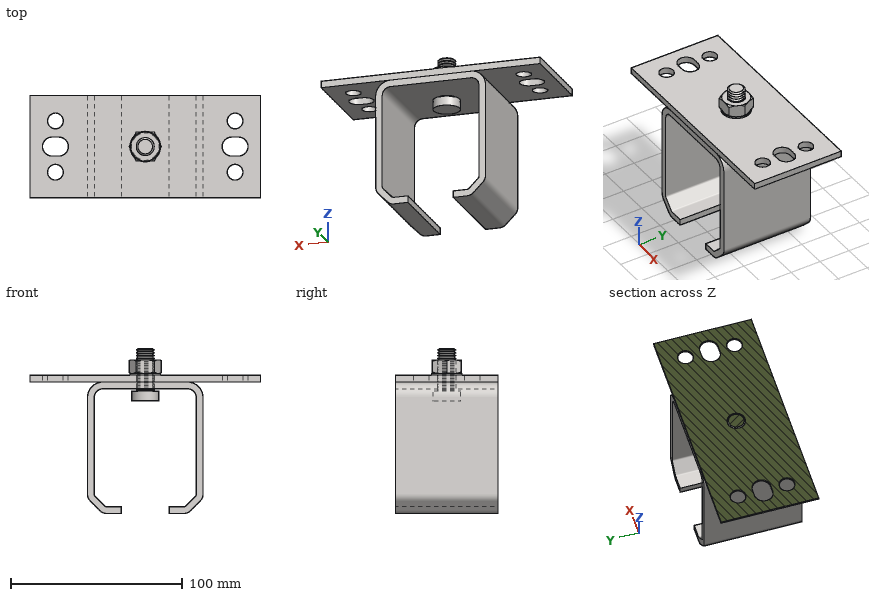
import cadquery as cq
import math

PLATE_LENGTH = 135.0
PLATE_WIDTH = 60.0
PLATE_THICKNESS = 4.0
FIXING_SPACING_X = 105.0
ROUND_HOLE_DIAMETER = 9.0
ROUND_HOLE_SPACING_Y = 30.0
SLOT_LENGTH = 15.0
SLOT_WIDTH = 11.0

CHANNEL_WIDTH = 67.6
CHANNEL_HEIGHT = 77.0
CHANNEL_LENGTH = PLATE_WIDTH
WALL = 4.0
ROOF_OUTER_RADIUS = 9.0
ROOF_INNER_RADIUS = ROOF_OUTER_RADIUS - WALL
INNER_BEVEL = 6.6
OUTER_BEVEL = INNER_BEVEL + WALL - WALL * math.tan(math.radians(22.5))
BEVEL_OUTER_RADIUS = 5.5
BEVEL_INNER_RADIUS = BEVEL_OUTER_RADIUS - WALL
MOUTH_WIDTH = 28.0

BOLT_TOP = 96.5
HEAD_DIAMETER = 16.0
HEAD_HEIGHT = 5.7
HEAD_GAP = 1.4
THREAD_MAJOR_DIAMETER = 10.5
THREAD_MINOR_DIAMETER = 8.5
THREAD_RIDGES = 15

WASHER_DIAMETER = 18.0
WASHER_THICKNESS = 1.0
NUT_HEIGHT = 8.0
NUT_ACROSS_FLATS = 17.0
NUT_ACROSS_CORNERS = 18.8
NUT_MAIN_FLAT_LENGTH = 10.5
NUT_CHAMFER_ANGLE = 30.0

PLATE_BOTTOM = CHANNEL_HEIGHT
WASHER_BOTTOM = PLATE_BOTTOM + PLATE_THICKNESS
NUT_BOTTOM = WASHER_BOTTOM + WASHER_THICKNESS
HEAD_TOP = CHANNEL_HEIGHT - WALL - HEAD_GAP

BOLT_HOLE_DIAMETER = THREAD_MAJOR_DIAMETER


def cylinder(diameter, bottom, height):
    """Upright cylinder on the bolt axis."""
    return cq.Workplane("XY").workplane(offset=bottom).circle(diameter / 2).extrude(height)


def block(width, depth, bottom, height):
    """Box centred on the bolt axis in X and Y, rising from the level `bottom`."""
    return cq.Workplane("XY").workplane(offset=bottom).rect(width, depth).extrude(height)


def bevelled_bar(width, bottom, top, roof_radius, bevel, bevel_radius):
    """Bar along Y with rounded top corners and, at the bottom, 45 degree bevels with rounded ends."""
    bar = block(width, CHANNEL_LENGTH, bottom, top - bottom)
    bar = bar.edges("|Y and <Z").chamfer(bevel)
    bar = bar.edges("|Y and (not >Z)").fillet(bevel_radius)
    return bar.edges("|Y and >Z").fillet(roof_radius)


def make_channel():
    outside = bevelled_bar(
        CHANNEL_WIDTH,
        0,
        CHANNEL_HEIGHT,
        ROOF_OUTER_RADIUS,
        OUTER_BEVEL,
        BEVEL_OUTER_RADIUS,
    )
    inside = bevelled_bar(
        CHANNEL_WIDTH - 2 * WALL,
        WALL,
        CHANNEL_HEIGHT - WALL,
        ROOF_INNER_RADIUS,
        INNER_BEVEL,
        BEVEL_INNER_RADIUS,
    )
    mouth = block(MOUTH_WIDTH, CHANNEL_LENGTH, 0, WALL)
    bolt_hole = cylinder(BOLT_HOLE_DIAMETER, CHANNEL_HEIGHT - WALL, WALL)
    return outside.cut(inside).cut(mouth).cut(bolt_hole)


def make_plate():
    plate = block(PLATE_LENGTH, PLATE_WIDTH, PLATE_BOTTOM, PLATE_THICKNESS)
    plate = plate.cut(cylinder(BOLT_HOLE_DIAMETER, PLATE_BOTTOM, PLATE_THICKNESS))
    top = plate.faces(">Z").workplane(origin=(0, 0, WASHER_BOTTOM))
    plate = top.rarray(FIXING_SPACING_X, ROUND_HOLE_SPACING_Y, 2, 2).hole(ROUND_HOLE_DIAMETER)
    top = plate.faces(">Z").workplane(origin=(0, 0, WASHER_BOTTOM))
    return top.rarray(FIXING_SPACING_X, 1.4, 2, 1).slot2D(SLOT_LENGTH, SLOT_WIDTH).cutThruAll()


def make_washer():
    washer = cylinder(WASHER_DIAMETER, WASHER_BOTTOM, WASHER_THICKNESS)
    return washer.cut(cylinder(BOLT_HOLE_DIAMETER, WASHER_BOTTOM, WASHER_THICKNESS))


def make_nut():
    """Hexagon nut, slightly squat along X, with its corners trimmed by a cone at top and bottom."""
    half_flat = NUT_MAIN_FLAT_LENGTH / 2
    half_flats = NUT_ACROSS_FLATS / 2
    half_corners = NUT_ACROSS_CORNERS / 2
    corners = [
        (half_corners, 0),
        (half_flat, half_flats),
        (-half_flat, half_flats),
        (-half_corners, 0),
        (-half_flat, -half_flats),
        (half_flat, -half_flats),
    ]
    hexagon = (
        cq.Workplane("XY").workplane(offset=NUT_BOTTOM).polyline(corners).close().extrude(NUT_HEIGHT)
    )
    corner_radius = math.hypot(half_flat, half_flats)
    chamfer_width = corner_radius - half_flats
    chamfer_height = chamfer_width * math.tan(math.radians(NUT_CHAMFER_ANGLE))
    trimmer = cylinder(2 * corner_radius, NUT_BOTTOM, NUT_HEIGHT)
    trimmer = trimmer.faces("<Z or >Z").chamfer(chamfer_height, chamfer_width)
    return hexagon.intersect(trimmer).cut(cylinder(BOLT_HOLE_DIAMETER, NUT_BOTTOM, NUT_HEIGHT))


def make_bolt():
    """Plain round head and a shank ringed by V-shaped thread ridges, turned from one profile."""
    head_radius = HEAD_DIAMETER / 2
    major_radius = THREAD_MAJOR_DIAMETER / 2
    minor_radius = THREAD_MINOR_DIAMETER / 2
    pitch = (BOLT_TOP - HEAD_TOP) / THREAD_RIDGES
    head_bottom = HEAD_TOP - HEAD_HEIGHT
    profile = [
        (0, head_bottom),
        (head_radius, head_bottom),
        (head_radius, HEAD_TOP),
        (minor_radius, HEAD_TOP),
    ]
    for ridge in range(THREAD_RIDGES):
        root = HEAD_TOP + ridge * pitch
        profile.append((major_radius, root + pitch / 2))
        profile.append((minor_radius, root + pitch))
    profile.append((0, BOLT_TOP))
    return cq.Workplane("XZ").polyline(profile).close().revolve(360, (0, 0), (0, 1))


channel = make_channel()
plate = make_plate()
washer = make_washer()
nut = make_nut()
bolt = make_bolt()

result = cq.Compound.makeCompound(
    [channel.val(), plate.val(), washer.val(), nut.val(), bolt.val()]
)